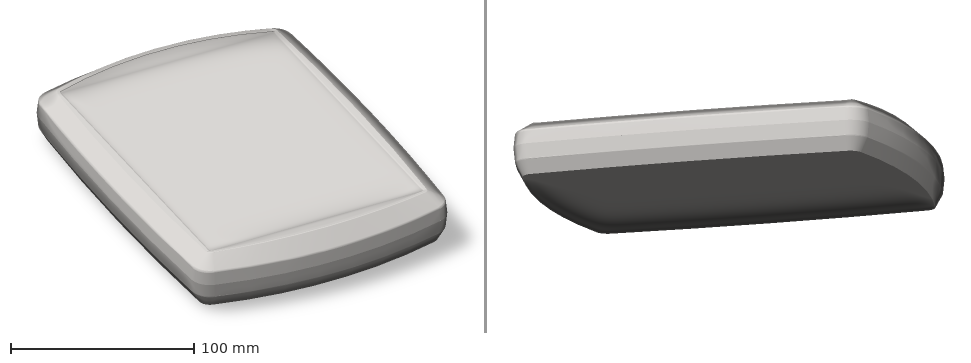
import cadquery as cq
import math

half_length = 221.0 / 2
half_width = 161.5 / 2
corner_radius = 12.0

end_turn = math.radians(14.9)
side_turn = math.radians(3.5)

belt_low = 7.7
parting = 16.1
belt_high = 24.0
deck = 29.8
rim_peak = 32.5

foot_inset = 5.0
belt_inset = 0.9
rim_inset = 10.4
rim_corner_radius = 3.5

belt_fillet = 1.5
end_rim_fillet = 0.7

recess_half_width = 66.0
recess_rim_gap = 2.2
recess_depth = 0.33
recess_wall_run = 0.9
recess_corner_radius = 1.3

clear_height = 2 * rim_peak


class BowedOutline:
    """Plan outline of four bowed sides joined tangentially by round corners."""

    def __init__(self, reach_x, reach_y, radius):
        self.reach_x = reach_x
        self.reach_y = reach_y
        self.radius = radius
        span_x, span_y = reach_x - radius, reach_y - radius
        end_rise, end_sag = math.sin(end_turn), 1 - math.cos(end_turn)
        side_run, side_sag = math.sin(side_turn), 1 - math.cos(side_turn)
        determinant = end_rise * side_run - end_sag * side_sag
        end_distance = (span_y * side_run - span_x * side_sag) / determinant
        side_distance = (span_x * end_rise - span_y * end_sag) / determinant
        self.center_x = side_distance * side_run
        self.center_y = end_distance * end_rise
        self.end_radius = end_distance + radius
        self.side_end_x = self.center_x + radius * side_run

    def edges(self, height_at):
        """Eight arcs, counter-clockwise from the +X +Y corner, lifted to height_at(x)."""

        def lifted(x, y):
            return cq.Vector(x, y, height_at(x))

        def on_corner(angle, sx, sy):
            x = self.center_x + self.radius * math.cos(angle)
            y = self.center_y + self.radius * math.sin(angle)
            return lifted(sx * x, sy * y)

        at_end, at_side = end_turn, math.pi / 2 - side_turn
        middle = (at_end + at_side) / 2
        arcs = []
        for sx, sy in ((1, 1), (-1, 1), (-1, -1), (1, -1)):
            if sx == sy:
                start, stop = at_end, at_side
                next_corner = (-sx, sy)
                bow_top = lifted(0, sy * self.reach_y)
            else:
                start, stop = at_side, at_end
                next_corner = (sx, -sy)
                bow_top = lifted(sx * self.reach_x, 0)
            first, last = on_corner(start, sx, sy), on_corner(stop, sx, sy)
            arcs.append(cq.Edge.makeThreePointArc(first, on_corner(middle, sx, sy), last))
            arcs.append(cq.Edge.makeThreePointArc(last, bow_top, on_corner(stop, *next_corner)))
        return arcs


rim = BowedOutline(half_length - rim_inset, half_width - rim_inset, rim_corner_radius)

crease_x = rim.side_end_x
deck_slope = (rim_peak - deck) / (rim.reach_x - crease_x)


def deck_height(x):
    return deck + deck_slope * max(0.0, abs(x) - crease_x)


def level_loop(inset, height):
    """Parting outline moved inwards by inset, lying flat at the given height."""
    outline = BowedOutline(half_length - inset, half_width - inset, corner_radius - inset)
    return outline.edges(lambda x: height)


def flat_face(edges):
    return cq.Face.makeFromWires(cq.Wire.assembleEdges(edges))


def walls(loops):
    """Ruled faces joining each edge loop to the next one up."""
    faces = []
    for lower, upper in zip(loops, loops[1:]):
        faces += [cq.Face.makeRuledSurface(low, high) for low, high in zip(lower, upper)]
    return faces


def closed_solid(faces):
    return cq.Workplane(cq.Solid.makeSolid(cq.Shell.makeShell(faces)).fix())


def belt_edges(body, height):
    """Edges of a body that lie level at the given height."""
    margin = 0.02
    return body.edges(cq.selectors.BoxSelector(
        (-half_length, -half_width, height - margin),
        (half_length, half_width, height + margin),
    ))


def make_base():
    loops = [
        level_loop(foot_inset, 0.0),
        level_loop(belt_inset, belt_low),
        level_loop(0.0, parting),
    ]
    body = closed_solid([flat_face(loops[0]), *walls(loops), flat_face(loops[-1])])
    return belt_edges(body, belt_low).fillet(belt_fillet)


def deck_faces(rim_loop):
    """Flat middle of the deck and its two rising ends, inside the rim loop."""
    back, front = rim_loop[1], rim_loop[5]
    left_crease = cq.Edge.makeLine(back.endPoint(), front.startPoint())
    right_crease = cq.Edge.makeLine(front.endPoint(), back.startPoint())
    middle = flat_face([back, left_crease, front, right_crease])
    left_end = flat_face([*rim_loop[2:5], left_crease])
    right_end = flat_face([*rim_loop[6:], rim_loop[0], right_crease])
    return [middle, left_end, right_end]


def end_rim_edges(body):
    """Bowed rim edges along the two raised ends of the lid."""
    half_span = rim.center_y + rim.radius
    left_end, right_end = [
        cq.selectors.BoxSelector(
            (direction * crease_x, -half_span, deck),
            (direction * half_length, half_span, rim_peak),
        )
        for direction in (-1, 1)
    ]
    return body.edges(left_end + right_end).edges("not %LINE")


def recess_plan():
    """Prism with straight long sides and ends bowed along the rim."""
    reach = rim.reach_x - recess_rim_gap
    arc_radius = rim.end_radius - recess_rim_gap
    end_x = reach - arc_radius + math.sqrt(arc_radius**2 - recess_half_width**2)
    return (
        cq.Workplane("XY")
        .moveTo(-end_x, -recess_half_width)
        .lineTo(end_x, -recess_half_width)
        .threePointArc((reach, 0), (end_x, recess_half_width))
        .lineTo(-end_x, recess_half_width)
        .threePointArc((-reach, 0), (-end_x, -recess_half_width))
        .close()
        .extrude(clear_height)
        .edges("|Z")
        .fillet(recess_corner_radius)
    )


def recess_floor():
    """Space above a floor that runs parallel to the deck."""
    floor_middle = deck - recess_depth
    floor_end = deck_height(half_length) - recess_depth
    return (
        cq.Workplane("XZ")
        .moveTo(-half_length, floor_end)
        .lineTo(-crease_x, floor_middle)
        .lineTo(crease_x, floor_middle)
        .lineTo(half_length, floor_end)
        .lineTo(half_length, clear_height)
        .lineTo(-half_length, clear_height)
        .close()
        .extrude(half_width, both=True)
    )


def recess_walls():
    """Space between the sloped walls of the two long sides."""
    floor_y = recess_half_width - recess_wall_run
    rise_to_clear = clear_height - deck + recess_depth
    clear_y = floor_y + rise_to_clear * recess_wall_run / recess_depth
    return (
        cq.Workplane("YZ")
        .moveTo(-floor_y, deck - recess_depth)
        .lineTo(floor_y, deck - recess_depth)
        .lineTo(clear_y, clear_height)
        .lineTo(-clear_y, clear_height)
        .close()
        .extrude(half_length, both=True)
    )


def make_lid():
    loops = [
        level_loop(0.0, parting),
        level_loop(belt_inset, belt_high),
        rim.edges(deck_height),
    ]
    body = closed_solid([flat_face(loops[0]), *walls(loops), *deck_faces(loops[-1])])
    body = belt_edges(body, belt_high).fillet(belt_fillet)
    body = end_rim_edges(body).fillet(end_rim_fillet)
    return body.cut(recess_plan().intersect(recess_floor()).intersect(recess_walls()))


base = make_base()
lid = make_lid()

result = cq.Compound.makeCompound([base.val(), lid.val()])